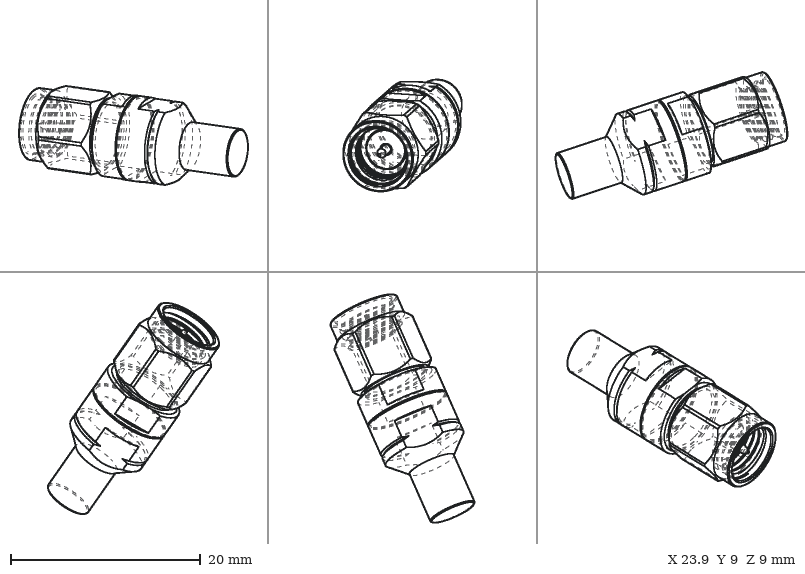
import cadquery as cq
import math


length = 23.88
body_diameter = 9.0
body_radius = body_diameter / 2
flat_distance = 3.99

collar_radius = 3.85
collar_chamfer = 0.12
hex_start = 2.05
hex_end = 8.35
hex_corner_diameter = 2 * flat_distance / math.cos(math.pi / 6)
hex_bevel = body_radius - collar_radius

neck_radius = 3.46
body_start = 8.79
body_bevel_length = 0.17
body_bevel_depth = 0.43
cone_start = 16.33
cone_end = 18.22
tube_radius = 2.55
tube_chamfer = 0.12

band_start = 11.3
band_end = 13.18

slit_start = 11.68
slit_width = 0.15
slit_depth = 0.25
vee_start = 15.12
vee_bottom = 15.28
vee_end = 15.47
vee_depth = 0.29

bore_depth = 3.2
mouth_chamfer = 0.15
relief_radius = 3.13
relief_end = 0.84
crest_radius = 2.77
lead_in_end = relief_end + relief_radius - crest_radius
thread_root_radius = 3.2
thread_pitch = 0.7
crest_width = 0.17
thread_start = 0.65
thread_turns = 4
cutter_overlap = 0.05

face_radius = 2.2
face_height = 0.12
face_position = bore_depth - face_height
recess_radius = 0.62
recess_depth = 0.25
pin_radius = 0.48
pin_tip_radius = 0.17
pin_tip = 0.6
pin_shoulder = 1.43


def revolve(points):
    """Turn an (X, radius) outline around the X axis."""
    return cq.Workplane("XY").polyline(points).close().revolve(360, (0, 0, 0), (1, 0, 0))


def disc(start, end, radius):
    """Solid cylinder along the X axis."""
    return cq.Workplane("YZ").workplane(offset=start).circle(radius).extrude(end - start)


def make_bore():
    """Cutter through the nut: chamfered mouth, plain relief, lead-in cone and straight bore."""
    return revolve([
        (0, 0),
        (0, relief_radius + mouth_chamfer),
        (mouth_chamfer, relief_radius),
        (relief_end, relief_radius),
        (lead_in_end, crest_radius),
        (hex_end, crest_radius),
        (hex_end, 0),
    ])


def make_thread():
    """Right-hand V groove, swept about Z and then turned onto the X axis."""
    groove_width = thread_pitch - crest_width
    cutter_scale = 1 + cutter_overlap / (thread_root_radius - crest_radius)
    half_mouth = groove_width / 2 * cutter_scale
    mouth_radius = crest_radius - cutter_overlap
    helix = cq.Wire.makeHelix(thread_pitch, thread_turns * thread_pitch, crest_radius)
    return (
        cq.Workplane("XZ")
        .polyline([(mouth_radius, -half_mouth), (thread_root_radius, 0), (mouth_radius, half_mouth)])
        .close()
        .sweep(cq.Workplane(helix), isFrenet=True)
        .rotate((0, 0, 0), (0, 1, 0), 90)
        .translate((thread_start, 0, 0))
    )


def make_nut():
    """Round collar and bevelled hexagon with the threaded bore through them."""
    collar = disc(0, hex_start, collar_radius).faces("<X").chamfer(collar_chamfer)
    hexagon = (
        cq.Workplane("YZ")
        .workplane(offset=hex_start)
        .polygon(6, hex_corner_diameter)
        .extrude(hex_end - hex_start)
    )
    bevelled_blank = disc(hex_start, hex_end, body_radius).faces("<X or >X").chamfer(hex_bevel)
    solid_nut = collar.union(hexagon.intersect(bevelled_blank))
    return solid_nut.cut(make_bore()).cut(make_thread())


def flat_cutter(start, end):
    """Round sleeve with two flat inner sides, which mills the top and bottom wrench flats."""
    between_flats = (
        cq.Workplane("YZ")
        .workplane(offset=start)
        .rect(4 * body_radius, 2 * flat_distance)
        .extrude(end - start)
    )
    return disc(start, end, 2 * body_radius).cut(between_flats)


def make_body():
    """Turned body with the contact face at its front, filling the nut behind the bore floor."""
    turned = revolve([
        (face_position + recess_depth, 0),
        (face_position + recess_depth, recess_radius),
        (face_position, recess_radius),
        (face_position, face_radius - face_height),
        (bore_depth, face_radius),
        (bore_depth, neck_radius),
        (body_start, neck_radius),
        (body_start, body_radius - body_bevel_depth),
        (body_start + body_bevel_length, body_radius),
        (slit_start, body_radius),
        (slit_start, body_radius - slit_depth),
        (slit_start + slit_width, body_radius - slit_depth),
        (slit_start + slit_width, body_radius),
        (vee_start, body_radius),
        (vee_bottom, body_radius - vee_depth),
        (vee_end, body_radius),
        (cone_start, body_radius),
        (cone_end, tube_radius),
        (length - tube_chamfer, tube_radius),
        (length, tube_radius - tube_chamfer),
        (length, 0),
    ])
    return turned.cut(flat_cutter(body_start, band_start)).cut(flat_cutter(band_end, cone_end))


def make_pin():
    """Centre pin with a tapered tip, standing in the recess of the contact face."""
    return revolve([
        (pin_tip, 0),
        (pin_tip, pin_tip_radius),
        (pin_shoulder, pin_radius),
        (face_position + recess_depth, pin_radius),
        (face_position + recess_depth, 0),
    ])


result = make_nut().union(make_body()).union(make_pin())